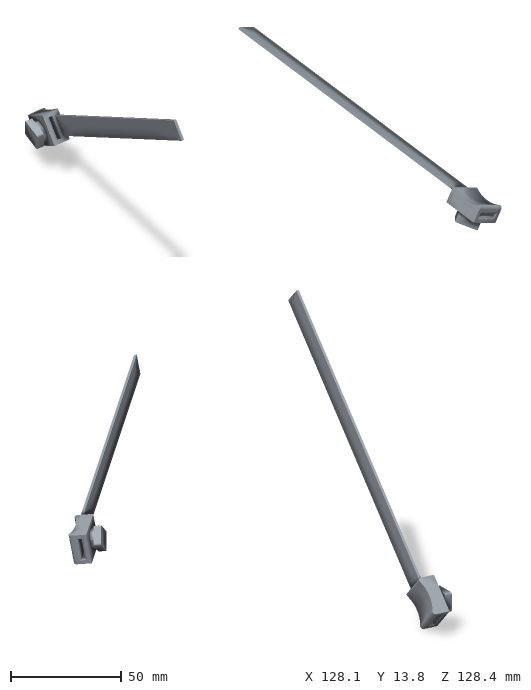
import cadquery as cq

BLOCK_TILT = 45.0
BLOCK_LENGTH = 19.0
BLOCK_WIDTH = 15.0
BLOCK_DEPTH = 8.5
END_ROUNDING = 1.5

SADDLE_DEPTH = 1.9
SADDLE_CHORD = BLOCK_LENGTH - 2 * END_ROUNDING

SLOT_WIDTH = 11.2
SLOT_HEIGHT = 1.85
SLOT_CENTRE_FROM_BACK = 4.9
SLOT_FLARE = 0.95
SLOT_FLARE_LENGTH = 0.65

STRAP_LENGTH = 149.9
STRAP_WIDTH = 10.0
STRAP_THICKNESS = 1.25
STRAP_FROM_BACK = 1.65
STRAP_SIDE_OFFSET = 0.2

FOOT_DROP = 0.15
HEAD_WIDTH = 11.0
HEAD_HEIGHT = 9.5
HEAD_THICKNESS = 3.5
HEAD_CORNER_RADIUS = 1.0
NECK_LENGTH = 1.75
NECK_RADIUS = 5.0
NECK_CORNER_RADIUS = 5.5

FRONT_Y = 0.0
BACK_Y = FRONT_Y + BLOCK_DEPTH
BLOCK_END = BLOCK_LENGTH / 2


def turn_to_tilt(body):
    """Turn a body from the X axis to the +X+Z diagonal."""
    return body.rotate((0, 0, 0), (0, 1, 0), -BLOCK_TILT)


def saddle_cutter():
    """Cylinder lying across the block that cuts a shallow arc into its back."""
    half_chord = SADDLE_CHORD / 2
    radius = (half_chord**2 + SADDLE_DEPTH**2) / (2 * SADDLE_DEPTH)
    centre_y = BACK_Y - SADDLE_DEPTH + radius
    return cq.Workplane("XY").center(0, centre_y).circle(radius).extrude(BLOCK_WIDTH, both=True)


def slot_cutter():
    """Flat slot along the block, opening out towards both ends in its height only."""
    centre_y = BACK_Y - SLOT_CENTRE_FROM_BACK
    throat = SLOT_HEIGHT / 2
    mouth = throat + SLOT_FLARE
    flare_start = BLOCK_END - SLOT_FLARE_LENGTH
    profile = [
        (-BLOCK_END, -mouth),
        (-flare_start, -throat),
        (flare_start, -throat),
        (BLOCK_END, -mouth),
        (BLOCK_END, mouth),
        (flare_start, throat),
        (-flare_start, throat),
        (-BLOCK_END, mouth),
    ]
    return (
        cq.Workplane("XY")
        .center(0, centre_y)
        .polyline(profile)
        .close()
        .extrude(SLOT_WIDTH / 2, both=True)
    )


def make_block():
    """Block with rounded back ends, a cable saddle and a strap slot."""
    body = cq.Workplane("XY").box(BLOCK_LENGTH, BLOCK_DEPTH, BLOCK_WIDTH)
    body = body.translate((0, FRONT_Y + BLOCK_DEPTH / 2, 0))
    body = body.edges("|Z and >Y").fillet(END_ROUNDING)
    body = body.cut(saddle_cutter()).cut(slot_cutter())
    return turn_to_tilt(body)


def make_strap():
    """Long flat strap standing on the upper end face of the block."""
    body = cq.Workplane("XY").box(STRAP_LENGTH, STRAP_THICKNESS, STRAP_WIDTH)
    centre_y = BACK_Y - STRAP_FROM_BACK - STRAP_THICKNESS / 2
    body = body.translate((BLOCK_END + STRAP_LENGTH / 2, centre_y, STRAP_SIDE_OFFSET))
    return turn_to_tilt(body)


def make_neck():
    """Round neck with two opposite square corners, which are rounded off."""
    def disc(radius):
        return cq.Workplane("XZ", origin=(0, FRONT_Y, 0)).circle(radius).extrude(NECK_LENGTH)

    def corner(side):
        base = cq.Workplane("XZ", origin=(0, FRONT_Y, 0))
        base = base.center(-side * NECK_RADIUS / 2, side * NECK_RADIUS / 2)
        return base.rect(NECK_RADIUS, NECK_RADIUS).extrude(NECK_LENGTH)

    corners = corner(1).union(corner(-1)).intersect(disc(NECK_CORNER_RADIUS))
    return turn_to_tilt(disc(NECK_RADIUS).union(corners))


def make_foot():
    """Rectangular head on a neck that is trimmed to the head and meets the front of the block."""
    def head_prism(start_y, length):
        prism = cq.Workplane("XZ", origin=(0, start_y, 0)).rect(HEAD_WIDTH, HEAD_HEIGHT).extrude(length)
        return prism.edges("|Y").fillet(HEAD_CORNER_RADIUS)

    head = head_prism(FRONT_Y - NECK_LENGTH, HEAD_THICKNESS)
    neck = make_neck().intersect(head_prism(FRONT_Y, NECK_LENGTH))
    return head.union(neck).translate((0, 0, -FOOT_DROP))


block = make_block()
strap = make_strap()
foot = make_foot()

result = cq.Compound.makeCompound([block.val(), strap.val(), foot.val()])